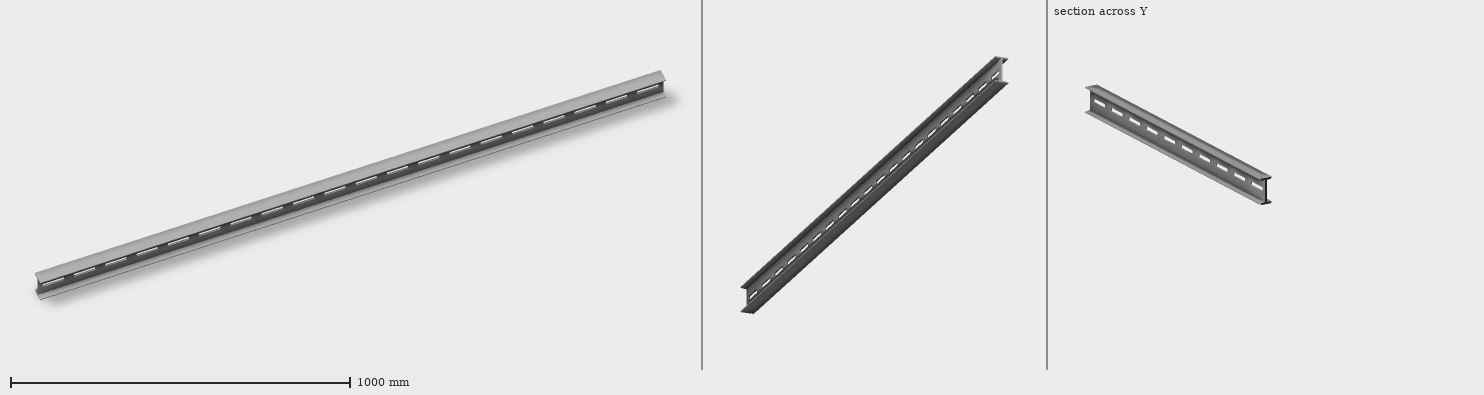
import cadquery as cq

LENGTH = 2000.0
HEIGHT = 80.0
FLANGE_WIDTH = 42.0
WEB_THICKNESS = 5.0
FLANGE_TIP_THICKNESS = 3.2
FLANGE_ROOT_THICKNESS = 5.0

SLOT_COUNT = 20
SLOT_PITCH = LENGTH / SLOT_COUNT
SLOT_LENGTH = 70.0
SLOT_HEIGHT = 13.0
SLOT_CORNER_RADIUS = 3.0


def make_beam():
    """Extrude the I-shaped cross-section along the full length."""
    tip_x = FLANGE_WIDTH / 2
    web_x = WEB_THICKNESS / 2
    top_z = HEIGHT / 2
    tip_z = top_z - FLANGE_TIP_THICKNESS
    root_z = top_z - FLANGE_ROOT_THICKNESS

    right_side = [
        (tip_x, top_z),
        (tip_x, tip_z),
        (web_x, root_z),
        (web_x, -root_z),
        (tip_x, -tip_z),
        (tip_x, -top_z),
    ]
    left_side = [(-x, z) for x, z in reversed(right_side)]
    outline = cq.Workplane("XZ").polyline(right_side + left_side).close()
    return outline.extrude(LENGTH / 2, both=True)


def make_slot_cutters():
    """One rounded block per slot, spaced evenly along the web."""
    blocks = (
        cq.Workplane("YZ")
        .rarray(SLOT_PITCH, 1, SLOT_COUNT, 1)
        .rect(SLOT_LENGTH, SLOT_HEIGHT)
        .extrude(WEB_THICKNESS, both=True)
    )
    return blocks.edges("|X").fillet(SLOT_CORNER_RADIUS)


result = make_beam().cut(make_slot_cutters())